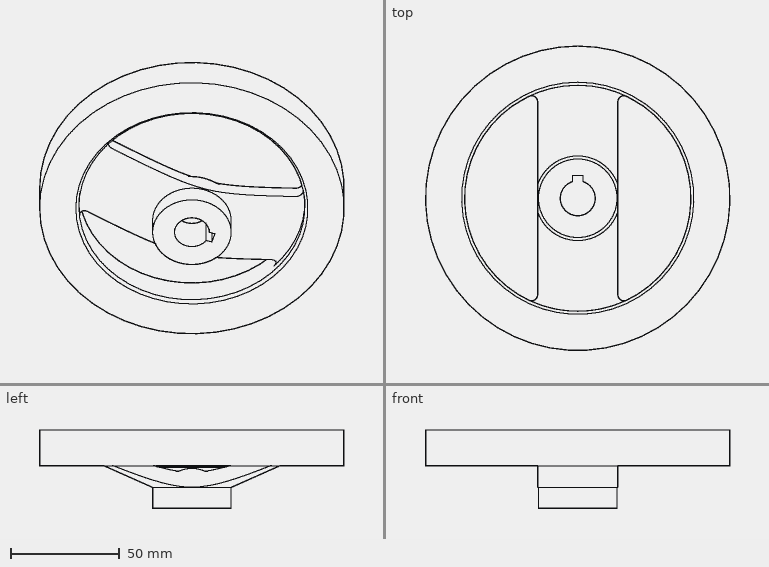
import cadquery as cq
import math

rim_diameter = 140.0
rim_radius = rim_diameter / 2
rim_bore_radius = 52.0
rim_height = 16.5
rim_chamfer = 1.4

overall_height = 36.0
hub_radius = 18.0
hub_height = 18.9
hub_chamfer = 1.4
shaft_radius = 8.0
key_width = 4.8
key_reach = 10.4

spoke_width = 37.0
window_corner_radius = 2.8
web_base = 9.5
web_rise = 6.9
web_angle = 24.0

rim_base = overall_height - rim_height


def make_rim():
    chamfer_radius = rim_bore_radius + rim_chamfer
    return (
        cq.Workplane("YZ")
        .moveTo(rim_bore_radius, rim_base + rim_chamfer)
        .lineTo(chamfer_radius, rim_base)
        .lineTo(rim_radius, rim_base)
        .lineTo(rim_radius, overall_height)
        .lineTo(chamfer_radius, overall_height)
        .lineTo(rim_bore_radius, overall_height - rim_chamfer)
        .close()
        .revolve(360, (0, 0, 0), (0, 1, 0))
    )


def make_hub_and_web():
    """Revolve the hub and a full conical web that reaches into the rim."""
    web_radius = rim_bore_radius + rim_chamfer
    slope = math.tan(math.radians(web_angle))
    underside_edge = web_base + slope * (web_radius - hub_radius)
    collar_radius = hub_radius + hub_chamfer
    collar_height = web_base + web_rise + slope * hub_chamfer
    return (
        cq.Workplane("YZ")
        .moveTo(0, 0)
        .lineTo(hub_radius, 0)
        .lineTo(hub_radius, web_base)
        .lineTo(web_radius, underside_edge)
        .lineTo(web_radius, underside_edge + web_rise)
        .lineTo(collar_radius, collar_height)
        .lineTo(hub_radius, hub_height)
        .lineTo(0, hub_height)
        .close()
        .revolve(360, (0, 0, 0), (0, 1, 0))
    )


def make_window(side):
    """Opening between the spokes and the rim, on the +X or -X side."""
    straight_x = side * spoke_width / 2
    corner_y = math.sqrt(rim_bore_radius**2 - straight_x**2)
    return (
        cq.Workplane("XY")
        .moveTo(straight_x, -corner_y)
        .threePointArc((side * rim_bore_radius, 0), (straight_x, corner_y))
        .close()
        .extrude(overall_height)
        .edges("|Z")
        .fillet(window_corner_radius)
    )


def make_spokes():
    """Cut the web down to the hub and two spokes that flare into the rim."""
    corner_center_x = spoke_width / 2 + window_corner_radius
    flare_x = corner_center_x * rim_bore_radius / (rim_bore_radius - window_corner_radius)
    spoke_band = cq.Workplane("XY").rect(2 * flare_x, rim_diameter).extrude(overall_height)
    spokes = make_hub_and_web().intersect(spoke_band)
    for side in (-1, 1):
        spokes = spokes.cut(make_window(side))
    return spokes


def make_shaft_hole():
    bore = cq.Workplane("XY").circle(shaft_radius).extrude(hub_height)
    keyway = (
        cq.Workplane("XY")
        .rect(key_width, key_reach)
        .extrude(hub_height)
        .translate((0, key_reach / 2, 0))
    )
    return bore.union(keyway)


result = make_rim().union(make_spokes()).cut(make_shaft_hole())